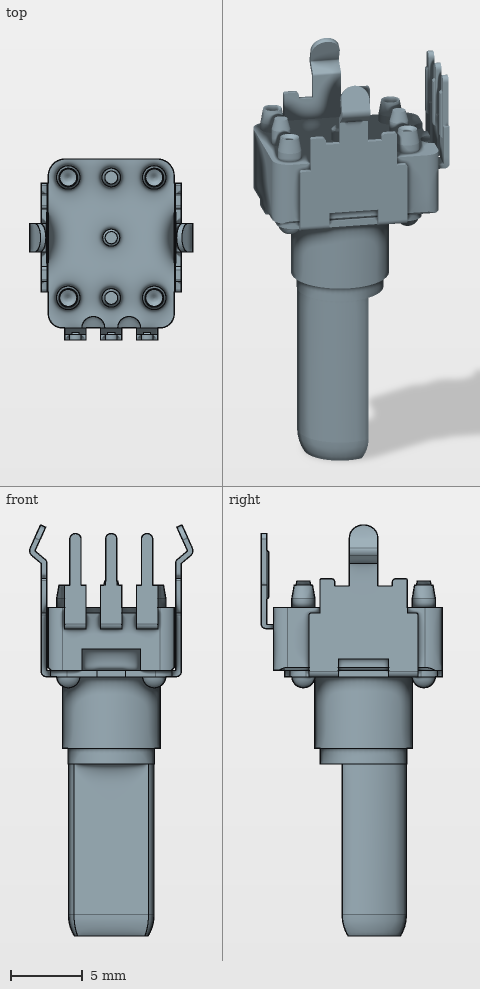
import cadquery as cq
import math


plate_thickness = 0.45
plate_half_length = 5.5
plate_shoulder_y = 5.15
plate_tongue_half_width = 1.0
plate_shoulder_half_width = 3.1
plate_corner_radius = 1.15

body_width = 8.8
body_back_y = 5.5
body_front_y = -6.3
body_height = 4.4
body_bottom = plate_thickness
body_top = body_bottom + body_height
back_corner_radius = 1.2
front_corner_radius = 1.0
side_bevel = 0.2

window_width = 4.1
window_height = 1.5
window_depth = 1.7

collar_diameter = 6.85
collar_length = 5.0
shaft_diameter = 6.0
shaft_radius = shaft_diameter / 2
shoulder_diameter = 6.05
shoulder_length = 1.1
shaft_end_z = -18.1
flat_y = -1.5
tip_length = 1.5
tip_inset = 0.43

rivet_x = 3.0
rivet_y = 4.2
rivet_diameter = 1.64
dome_center_z = 0.05
rivet_straight = 0.6
rivet_height = 1.55
rivet_top_diameter = 1.3
rivet_hole_diameter = 1.19
rivet_hole_depth = 0.48
peg_diameter = 1.3
peg_straight = 1.1
peg_height = 1.85
peg_top_diameter = 0.9
center_peg_diameter = 1.19
center_peg_height = 0.95
center_peg_chamfer = 0.17

terminal_pitch = 2.5
terminal_thickness = 0.4
terminal_outer_y = -7.15
terminal_wide = 1.5
terminal_narrow = 0.8
terminal_bottom = 3.35
terminal_shoulder = 6.4
terminal_top = 10.0
leg_thickness = 0.3
terminal_bend_radius = 0.35
rib_width = 0.5
rib_height = 0.15
rib_bottom = 5.4
rib_top = 8.85
scallop_diameter = 1.6
scallop_depth = 0.4

arm_outer_x = 4.9
arm_thickness = 0.4
arm_inner_x = arm_outer_x - arm_thickness
arm_middle_x = arm_outer_x - arm_thickness / 2
arm_bend_radius = 0.38
arm_half_width = 3.8
arm_shoulder_z = 4.45
ear_inner_y = 2.0
ear_outer_y = 3.05
ear_top = 6.85
notch_floor = 6.35
arm_corner_radius = 0.15
ear_inner_radius = 0.25
ear_outer_radius = 0.12
clip_width = 2.0
clip_kink_z = 8.0
clip_knee_x = 5.56
clip_knee_z = 8.73
clip_bend_setback = 0.2
clip_tip_x = 4.75
clip_tip_z = 10.52
slot_width = 3.5
slot_top = 1.25


def box(x0, x1, y0, y1, z0, z1):
    """Axis-aligned block between two opposite corners."""
    return cq.Workplane("XY").box(x1 - x0, y1 - y0, z1 - z0, centered=False).translate((x0, y0, z0))


def revolve_about_z(profile):
    """Turn a closed (radius, z) outline about the Z axis."""
    return cq.Workplane("XZ").polyline(profile).close().revolve(360, (0, 0), (0, 1))


def mirrored_in_x(shape):
    """The shape together with its mirror image across X = 0."""
    return shape.union(shape.mirror("YZ"))


def make_plate():
    """Plate under the body, with a tongue at each end and round corners at the rivets."""
    corner_side_x = plate_shoulder_half_width + plate_corner_radius
    quarter = (
        cq.Workplane("XY")
        .moveTo(0, 0)
        .lineTo(arm_inner_x, 0)
        .lineTo(arm_inner_x, arm_half_width)
        .lineTo(corner_side_x, arm_half_width)
        .lineTo(corner_side_x, plate_shoulder_y - plate_corner_radius)
        .tangentArcPoint((plate_shoulder_half_width, plate_shoulder_y), relative=False)
        .lineTo(plate_tongue_half_width, plate_shoulder_y)
        .lineTo(plate_tongue_half_width, plate_half_length)
        .lineTo(0, plate_half_length)
        .close()
        .extrude(plate_thickness)
    )
    half = mirrored_in_x(quarter)
    return half.union(half.mirror("XZ"))


def make_body():
    """Block with bevelled side feet, a front window and two scallops between the terminals."""
    half_width = body_width / 2
    body = box(-half_width, half_width, body_front_y, body_back_y, body_bottom, body_top)
    body = body.edges("|Z and >Y").fillet(back_corner_radius)
    body = body.edges("|Z and <Y").fillet(front_corner_radius)
    bevel = (
        cq.Workplane("XZ")
        .polyline([
            (half_width - side_bevel, body_bottom),
            (half_width, body_bottom + side_bevel),
            (half_width, body_bottom),
        ])
        .close()
        .extrude(body_width, both=True)
    )
    window = box(
        -window_width / 2, window_width / 2,
        body_front_y, body_front_y + window_depth,
        body_bottom, body_bottom + window_height,
    )
    body = body.cut(mirrored_in_x(bevel)).cut(window)
    for side in (-1, 1):
        scallop = (
            cq.Workplane("XY", origin=(side * terminal_pitch / 2, body_front_y, body_top - scallop_depth))
            .circle(scallop_diameter / 2)
            .extrude(scallop_depth)
        )
        body = body.cut(scallop)
    return body


def make_shaft():
    """Collar, shoulder and D-shaped shaft; its end rounds inward on the round side and on the flat."""
    collar = cq.Workplane("XY").circle(collar_diameter / 2).extrude(-collar_length)
    shoulder_z = -collar_length - shoulder_length
    shoulder = cq.Workplane("XY").circle(shoulder_diameter / 2).extrude(shoulder_z)
    tip_start_z = shaft_end_z + tip_length
    tip_radius = (tip_length**2 + tip_inset**2) / (2 * tip_inset)
    half_angle = math.asin(tip_length / tip_radius) / 2
    mid_inset = tip_radius * (1 - math.cos(half_angle))
    mid_z = tip_start_z - tip_radius * math.sin(half_angle)

    rod = (
        cq.Workplane("XZ")
        .moveTo(0, 0)
        .lineTo(shaft_radius, 0)
        .lineTo(shaft_radius, tip_start_z)
        .threePointArc((shaft_radius - mid_inset, mid_z), (shaft_radius - tip_inset, shaft_end_z))
        .lineTo(0, shaft_end_z)
        .close()
        .revolve(360, (0, 0), (0, 1))
    )
    flat_cut = (
        cq.Workplane("YZ")
        .moveTo(-shaft_diameter, shoulder_z)
        .lineTo(flat_y, shoulder_z)
        .lineTo(flat_y, tip_start_z)
        .threePointArc((flat_y + mid_inset, mid_z), (flat_y + tip_inset, shaft_end_z))
        .lineTo(-shaft_diameter, shaft_end_z)
        .close()
        .extrude(shaft_diameter, both=True)
    )
    return collar.union(shoulder).union(rod.cut(flat_cut))


def make_rivet():
    """Tapered post with a conical hole above the body and a domed head below the plate."""
    radius = rivet_diameter / 2
    post = revolve_about_z([
        (0, body_top),
        (radius, body_top),
        (radius, body_top + rivet_straight),
        (rivet_top_diameter / 2, body_top + rivet_height),
        (rivet_hole_diameter / 2, body_top + rivet_height),
        (0, body_top + rivet_height - rivet_hole_depth),
    ])
    return post.union(cq.Workplane("XY").sphere(radius).translate((0, 0, dome_center_z)))


def make_peg():
    """Locating peg with a tapered end."""
    radius = peg_diameter / 2
    return revolve_about_z([
        (0, body_top),
        (radius, body_top),
        (radius, body_top + peg_straight),
        (peg_top_diameter / 2, body_top + peg_height),
        (0, body_top + peg_height),
    ])


def make_center_peg():
    """Short chamfered peg on the shaft axis."""
    peg = (
        cq.Workplane("XY", origin=(0, 0, body_top))
        .circle(center_peg_diameter / 2)
        .extrude(center_peg_height)
    )
    return peg.faces(">Z").edges().chamfer(center_peg_chamfer)


def make_terminal():
    """L-shaped pin: a leg out of the front wall, then a stepped blade pointing up."""
    inner_y = terminal_outer_y + terminal_thickness
    half_wide = terminal_wide / 2
    half_narrow = terminal_narrow / 2
    leg_top = terminal_bottom + leg_thickness

    leg = box(-half_wide, half_wide, terminal_outer_y, body_front_y, terminal_bottom, leg_top)
    base = box(-half_wide, half_wide, terminal_outer_y, inner_y, terminal_bottom, terminal_shoulder)
    bent = leg.union(base).edges("|X and <Y and <Z").fillet(terminal_bend_radius)
    blade = (
        cq.Workplane("XZ", origin=(0, inner_y, 0))
        .moveTo(-half_narrow, terminal_shoulder)
        .lineTo(half_narrow, terminal_shoulder)
        .lineTo(half_narrow, terminal_top - half_narrow)
        .threePointArc((0, terminal_top), (-half_narrow, terminal_top - half_narrow))
        .close()
        .extrude(terminal_thickness)
    )
    rib = (
        cq.Workplane("YZ")
        .polyline([
            (inner_y, rib_bottom),
            (inner_y + rib_height, rib_bottom + rib_height),
            (inner_y + rib_height, rib_top - rib_height),
            (inner_y, rib_top),
        ])
        .close()
        .extrude(rib_width / 2, both=True)
    )
    return bent.union(blade).union(rib)


def point_toward(start, end, distance):
    """Point at a distance from start along the line to end, both as (x, z)."""
    span = math.dist(start, end)
    return tuple(a + (b - a) * distance / span for a, b in zip(start, end))


def make_clip_tip(start, end):
    """Flat end of the clip, half-round at its tip, between two (x, z) points on its middle plane."""
    run = end[0] - start[0]
    rise = end[1] - start[1]
    length = math.hypot(run, rise)
    radius = clip_width / 2
    plane = cq.Plane(origin=(start[0], 0, start[1]), xDir=(run, 0, rise), normal=(-rise, 0, run))
    return (
        cq.Workplane(plane)
        .moveTo(0, -radius)
        .lineTo(length - radius, -radius)
        .threePointArc((length, 0), (length - radius, radius))
        .lineTo(0, radius)
        .close()
        .extrude(arm_thickness / 2, both=True)
    )


def make_clip():
    """Spring clip on +X: a strip kinked outward, then bent back inward to a half-round tip."""
    root = (arm_middle_x, notch_floor)
    kink = (arm_middle_x, clip_kink_z)
    knee = (clip_knee_x, clip_knee_z)
    tip = (clip_tip_x, clip_tip_z)
    bend_start = point_toward(knee, kink, clip_bend_setback)
    bend_end = point_toward(knee, tip, clip_bend_setback)
    path = (
        cq.Workplane("XZ")
        .moveTo(*root)
        .lineTo(*kink)
        .lineTo(*bend_start)
        .tangentArcPoint(bend_end, relative=False)
    )
    strip = (
        cq.Workplane("XY", origin=(arm_middle_x, 0, notch_floor))
        .rect(arm_thickness, clip_width)
        .sweep(path, transition="round")
    )
    return strip.union(make_clip_tip(bend_end, tip))


def make_ear():
    """Upright ear on the +Y shoulder of the +X arm, rounded at its inner top corner."""
    ear = box(arm_inner_x, arm_outer_x, ear_inner_y, ear_outer_y, arm_shoulder_z, ear_top)
    ear = ear.edges("|X and >Z and <Y").fillet(ear_inner_radius)
    return ear.edges("|X and >Y").edges(">Z").fillet(ear_outer_radius)


def make_arm():
    """Side arm on +X: a sheet folded up from the plate, with two ears and a spring clip."""
    sheet = box(arm_inner_x, arm_outer_x, -arm_half_width, arm_half_width, 0, arm_shoulder_z)
    sheet = sheet.edges("|X and >Z").fillet(arm_corner_radius)
    sheet = sheet.edges("|Y and >X and <Z").fillet(arm_bend_radius)
    neck = box(arm_inner_x, arm_outer_x, -ear_outer_y, ear_outer_y, plate_thickness, notch_floor)
    ear = make_ear()
    return sheet.union(neck).union(ear).union(ear.mirror("XZ")).union(make_clip())


def make_arm_slot():
    """Opening through the foot of the +X arm and the plate edge beneath it."""
    return box(body_width / 2, arm_outer_x, -slot_width / 2, slot_width / 2, 0, slot_top)


frame = make_plate().union(mirrored_in_x(make_arm())).cut(mirrored_in_x(make_arm_slot()))
result = frame.union(make_body()).union(make_shaft())

for x in (-rivet_x, rivet_x):
    for y in (-rivet_y, rivet_y):
        result = result.union(make_rivet().translate((x, y, 0)))

for y in (-rivet_y, rivet_y):
    result = result.union(make_peg().translate((0, y, 0)))
result = result.union(make_center_peg())

for column in (-1, 0, 1):
    result = result.union(make_terminal().translate((column * terminal_pitch, 0, 0)))